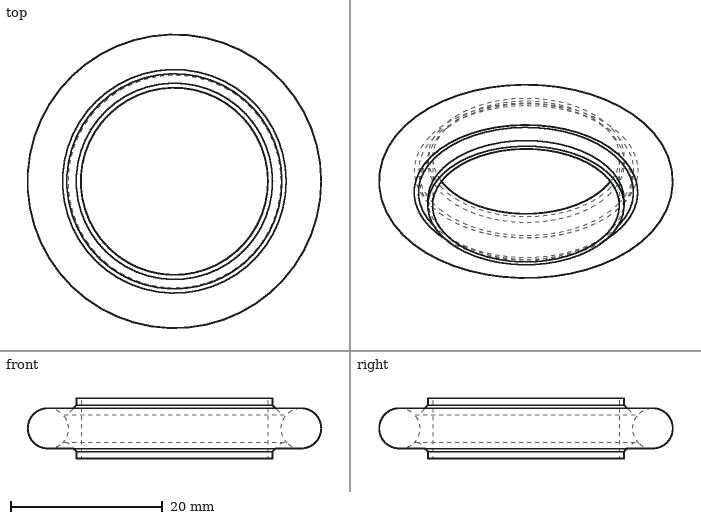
import cadquery as cq
import math

outer_radius = 19.38
cord_radius = 2.67
ring_height = 8.0
bore_radius = 12.33
sleeve_radius = 12.95
cone_height = 3.05
rim_radius = 14.2
cone_angle = 45.0

cord_center = outer_radius - cord_radius
half_height = ring_height / 2
rim_height = cone_height - (rim_radius - sleeve_radius) * math.tan(math.radians(cone_angle))
groove_bottom = cord_center - cord_radius
groove_edge = cord_center - math.sqrt(cord_radius**2 - rim_height**2)


def make_o_ring():
    """Round-section ring centred on the mid-plane."""
    return cq.Workplane("XZ").center(cord_center, 0).circle(cord_radius).revolve(
        360, (-cord_center, 0), (-cord_center, 1)
    )


def make_centering_ring():
    """Sleeve with a conical collar, grooved on the outside to seat the O-ring."""
    return (
        cq.Workplane("XZ")
        .moveTo(bore_radius, -half_height)
        .lineTo(sleeve_radius, -half_height)
        .lineTo(sleeve_radius, -cone_height)
        .lineTo(rim_radius, -rim_height)
        .lineTo(groove_edge, -rim_height)
        .threePointArc((groove_bottom, 0), (groove_edge, rim_height))
        .lineTo(rim_radius, rim_height)
        .lineTo(sleeve_radius, cone_height)
        .lineTo(sleeve_radius, half_height)
        .lineTo(bore_radius, half_height)
        .close()
        .revolve(360, (0, 0), (0, 1))
    )


o_ring = make_o_ring()
centering_ring = make_centering_ring()

result = cq.Compound.makeCompound([o_ring.val(), centering_ring.val()])